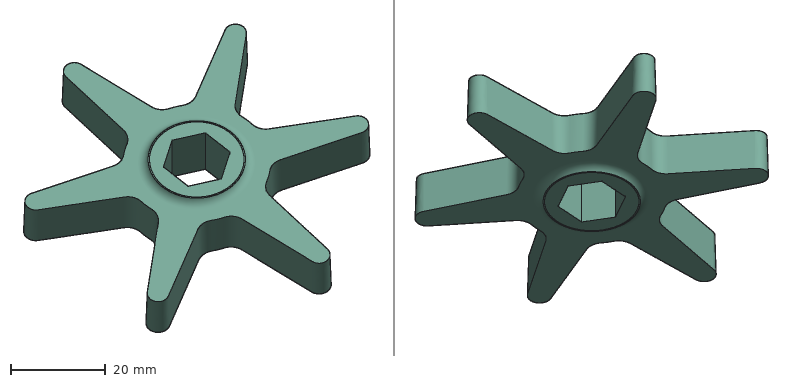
import cadquery as cq
import math

VANE_COUNT = 6
VANE_TILT = 1.2
TIP_REACH = 38.1
TIP_RADIUS = 2.6
VANE_HALF_TAPER = 6.1
ROOT_RADIUS = 15.85
VALLEY_FILLET = 3.8
WHEEL_THICKNESS = 10.35
DRAFT_ANGLE = 1.5

HUB_HEIGHT = 12.7
COLLAR_FOOT_RADIUS = 12.35
COLLAR_RIM_RADIUS = 10.3

BUSHING_RADIUS = 10.0
HEX_ACROSS_FLATS = 12.65
HEX_ACROSS_CORNERS = HEX_ACROSS_FLATS / math.cos(math.radians(30))

WHEEL_BOTTOM = -WHEEL_THICKNESS / 2
HUB_BOTTOM = -HUB_HEIGHT / 2


def make_vane():
    """Drafted vane along +X, its flanks tangent to the full-round tip."""
    taper = math.radians(VANE_HALF_TAPER)
    tip_center = TIP_REACH - TIP_RADIUS
    tangent_x = tip_center + TIP_RADIUS * math.sin(taper)
    tangent_y = TIP_RADIUS * math.cos(taper)
    inner_x = ROOT_RADIUS / 2
    inner_y = tangent_y + (tangent_x - inner_x) * math.tan(taper)
    return (
        cq.Workplane("XY", origin=(0, 0, WHEEL_BOTTOM))
        .moveTo(inner_x, -inner_y)
        .lineTo(tangent_x, -tangent_y)
        .threePointArc((TIP_REACH, 0), (tangent_x, tangent_y))
        .lineTo(inner_x, inner_y)
        .close()
        .extrude(WHEEL_THICKNESS, taper=DRAFT_ANGLE)
    )


def make_star():
    """Round root with the vanes, blended by fillets in the valleys."""
    star = (
        cq.Workplane("XY", origin=(0, 0, WHEEL_BOTTOM))
        .circle(ROOT_RADIUS)
        .extrude(WHEEL_THICKNESS, taper=DRAFT_ANGLE)
    )
    vane = make_vane()
    for index in range(VANE_COUNT):
        angle = VANE_TILT + index * 360 / VANE_COUNT
        star = star.union(vane.rotate((0, 0, 0), (0, 0, 1), angle))

    def is_valley_corner(edge):
        middle = edge.Center()
        upright = abs(middle.z) < WHEEL_THICKNESS / 4
        return upright and math.hypot(middle.x, middle.y) < ROOT_RADIUS

    corners = star.edges().filter(is_valley_corner)
    return corners.fillet(VALLEY_FILLET)


def make_hub():
    """Round hub whose collars sweep down to the wheel faces in concave arcs."""
    width = COLLAR_FOOT_RADIUS - COLLAR_RIM_RADIUS
    height = (HUB_HEIGHT - WHEEL_THICKNESS) / 2
    sweep_radius = (width**2 + height**2) / (2 * height)
    half_angle = math.asin(width / sweep_radius) / 2
    middle_r = COLLAR_FOOT_RADIUS - sweep_radius * math.sin(half_angle)
    middle_z = WHEEL_THICKNESS / 2 + sweep_radius * (1 - math.cos(half_angle))
    return (
        cq.Workplane("XZ")
        .moveTo(0, HUB_BOTTOM)
        .lineTo(COLLAR_RIM_RADIUS, HUB_BOTTOM)
        .threePointArc((middle_r, -middle_z), (COLLAR_FOOT_RADIUS, WHEEL_BOTTOM))
        .lineTo(COLLAR_FOOT_RADIUS, -WHEEL_BOTTOM)
        .threePointArc((middle_r, middle_z), (COLLAR_RIM_RADIUS, -HUB_BOTTOM))
        .lineTo(0, -HUB_BOTTOM)
        .close()
        .revolve(360, (0, 0, 0), (0, 1, 0))
    )


def make_bushing_blank():
    """Plain cylinder that fills the wheel bore from face to face."""
    return (
        cq.Workplane("XY", origin=(0, 0, HUB_BOTTOM))
        .circle(BUSHING_RADIUS)
        .extrude(HUB_HEIGHT)
    )


def make_wheel():
    """Star and hub in one piece, bored for the bushing."""
    return make_star().union(make_hub()).cut(make_bushing_blank())


def make_bushing():
    """Bushing with a through hexagonal bore, two flats parallel to X."""
    hex_bore = (
        cq.Workplane("XY", origin=(0, 0, HUB_BOTTOM))
        .polygon(6, HEX_ACROSS_CORNERS)
        .extrude(HUB_HEIGHT)
    )
    return make_bushing_blank().cut(hex_bore)


wheel = make_wheel()
bushing = make_bushing()

result = cq.Compound.makeCompound([wheel.solids().val(), bushing.solids().val()])